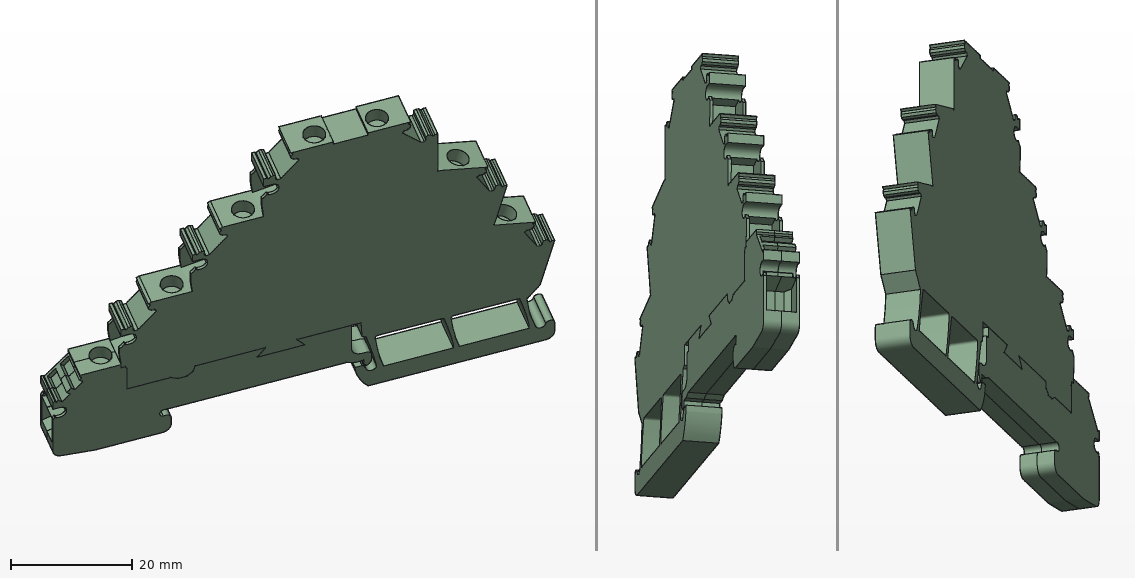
import cadquery as cq
import math


LENGTH = 87.7
WIDTH = 6.1
HEIGHT = 62.9
HALF_WIDTH = WIDTH / 2
SIDE_WALL = 0.5

LEVEL_PITCH = 12.45
LIP_TOP_Y = 41.6
LIP_LEVELS_Y = [LIP_TOP_Y - level * LEVEL_PITCH for level in range(3)]
SHELF_MIDDLE_Z = 48.85
SHELF_BOTTOM_Z = 34.8
BASE_TOP_Z = 21.2
LIP_DROP = 0.3
LIP_LEVELS_Z = [HEIGHT, SHELF_MIDDLE_Z - LIP_DROP, SHELF_BOTTOM_Z - LIP_DROP]
FLOOR_LEVELS_Z = [SHELF_MIDDLE_Z, SHELF_BOTTOM_Z, BASE_TOP_Z]

TOOTH_REACH = 4.7
CLIP_POINTS = [
    (0, 0), (-0.35, 0.4), (0, 0.9), (-0.1, 1.4), (-0.5, 1.75), (-1.1, 1.8), (-1.4, 2.3),
    (1.75, 5.7), (2.4, 5.8), (2.6, 5.5), (2.6, 4.65), (3.1, 4.5), (3.5, 4.6),
    (3.95, 5.0), (4.2, 4.7), (TOOTH_REACH, 4.7),
]

SLOT_RADIUS = 1.18
SLOT_TOP_Z = 55.1
SLOT_PITCH = 14.0
SLOT_LEVELS_Z = [SLOT_TOP_Z - level * SLOT_PITCH for level in range(3)]
SLOT_INSET = 1.5
FACE_BULGE = 0.3
FACE_BULGE_HEIGHT = 2.45

REAR_TILT = math.radians(15)
REAR_TOP_Y = 62.5
REAR_MIDDLE_Y = 76.0
REAR_MIDDLE_Z = 46.7
REAR_BOTTOM_Z = 29.9
REAR_CORNER_Y = 77.1
REAR_CORNER_Z = 31.8
REAR_BOTTOM_Y = LENGTH - TOOTH_REACH * (math.cos(REAR_TILT) - math.sin(REAR_TILT))

TOP_RECESS_START_Y = 49.0
TOP_RECESS_END_Y = 55.1
TOP_RECESS_DEPTH = 0.5

SEAM_Z = 16.1
SEAM_STEP_Z = 14.8
SEAM_FRONT_Y = 13.0
SEAM_LEDGE_Z = 20.4
SEAM_BULGE_Z = 14.1
GAP_REAR_Y = 53.85
FRONT_FACE_Y = LIP_LEVELS_Y[-1] - TOOTH_REACH
DOVETAIL_Z = 14.3
SEAM_POINTS = [
    (FRONT_FACE_Y, SEAM_LEDGE_Z), (12.7, SEAM_LEDGE_Z), (SEAM_FRONT_Y, 19.7),
    (SEAM_FRONT_Y, SEAM_STEP_Z), (20.6, SEAM_STEP_Z), (21.8, SEAM_BULGE_Z),
    (23.4, SEAM_BULGE_Z), (24.55, 15.0), (24.8, SEAM_Z),
    (37.2, SEAM_Z), (35.7, DOVETAIL_Z), (44.0, DOVETAIL_Z), (42.6, SEAM_Z),
]

FOOT_TOP_Z = 3.95
WINDOW_TOP_Z = 11.9
WINDOW_PITCH = 13.2
WINDOW_TOP_WIDTH = 12.0
WINDOW_BOTTOM_WIDTH = 12.2
WINDOW_TOP_Y = 69.55
WINDOW_BOTTOM_Y = 71.0
WINDOW_BOW = 0.22
WINDOW_FILLET = 0.4
WINDOW_TOE = 0.9
FOOT_FRONT_Y = 55.1

SCREW_DIAMETER = 3.8
SCREW_DEPTH = 2.6
SCREW_SETBACK = 5.0
REAR_SCREW_SETBACK = 4.5
SCREW_OFFSET_X = 0.4

POCKET_WIDTH = WIDTH - 2 * SIDE_WALL
POCKET_DEPTH = 4.8
POCKET_BACK_DROP = 1.0
POCKET_BACK_RISE = 0.7

BASE_REAR_Y = 52.2
BASE_LIP_Y = TOOTH_REACH
BASE_UNDERSIDE_Z = 7.2
BASE_FOOT_Z = 1.7
BASE_SLOT_INSET = 1.2
BASE_SLOT_Z = 13.3
BASE_SLOPE_TOP = (5.0, 20.4)
BASE_SLOPE_BOTTOM = (0.6, 16.05)
BASE_POCKET_MOUTH = (5.9, 11.8)
BASE_POCKET_BACK = (7.0, 10.6)
BASE_POCKET_DEPTH = 4.4
BASE_POCKET_CHAMFER = 1.05
BASE_RELIEF_DEPTH = 2.6
BASE_SCREW_SETBACK = 4.65
GROOVE_LENGTH = 2.0
GROOVE_DEPTH = 0.9
GROOVE_STARTS = [0.5, 3.7]
REAR_NOTCH_LENGTH = 0.9
REAR_NOTCH_HEIGHT = 1.8


def clip_points(lip_y, lip_z, outward, tilt=0.0):
    """Marker clip profile from lip tip to tooth corner; outward is +1 or -1 along Y."""
    points = []
    for reach, drop in CLIP_POINTS:
        y = lip_y + outward * (reach * math.cos(tilt) - drop * math.sin(tilt))
        z = lip_z - reach * math.sin(tilt) - drop * math.cos(tilt)
        points.append((y, z))
    return points


def through(outline, points):
    """Continue an outline with straight lines through the given points."""
    for point in points:
        outline = outline.lineTo(*point)
    return outline


def wire_slot(outline, tooth_y, axis_z, inset):
    """Continue an outline from the tooth corner around the wire slot to its lower mouth."""
    axis_y = tooth_y + inset
    outline = outline.lineTo(tooth_y, axis_z + SLOT_RADIUS).lineTo(axis_y, axis_z + SLOT_RADIUS)
    outline = outline.threePointArc((axis_y + SLOT_RADIUS, axis_z), (axis_y, axis_z - SLOT_RADIUS))
    mouth = [(-0.6, -1.18), (-0.9, -0.9)]
    return through(outline, [(axis_y + dy, axis_z + dz) for dy, dz in mouth])


def front_level(outline, lip_y, lip_z, slot_z, floor_z):
    """Continue an outline down one wire-entry level to the shelf below it."""
    outline = through(outline, clip_points(lip_y, lip_z, -1))
    face_y = lip_y - TOOTH_REACH
    outline = wire_slot(outline, face_y, slot_z, SLOT_INSET)
    bulge_y = face_y - FACE_BULGE
    return through(outline, [
        (face_y + 0.2, slot_z - 1.4), (bulge_y, slot_z - 1.75),
        (bulge_y, floor_z + FACE_BULGE_HEIGHT), (face_y, floor_z),
    ])


def extrude_across(outline):
    """Close a YZ outline and extrude it across the whole width."""
    return outline.close().extrude(HALF_WIDTH, both=True)


def screw_hole(x, y, z, tilt=0.0):
    """Blind screw hole sunk from a point on a shelf, its axis leaning towards +Y by tilt."""
    inward = cq.Vector(0, -math.sin(tilt), -math.cos(tilt))
    hole = cq.Solid.makeCylinder(SCREW_DIAMETER / 2, SCREW_DEPTH, cq.Vector(x, y, z), inward)
    return cq.Workplane(obj=hole)


def wire_pocket(face_y, mouth_span, depth, back_span):
    """Pocket opening on the plane Y = face_y; each span is the lower and upper Z of that end."""
    mouth_low, mouth_high = mouth_span
    back_low, back_high = back_span
    return (
        cq.Workplane("YZ")
        .moveTo(face_y - 0.9, mouth_low)
        .lineTo(face_y, mouth_low)
        .lineTo(face_y + depth, back_low)
        .lineTo(face_y + depth, back_high)
        .lineTo(face_y, mouth_high)
        .lineTo(face_y - 0.9, mouth_high)
        .close()
        .extrude(POCKET_WIDTH / 2, both=True)
    )


def housing_outline():
    """Solid of the housing side outline, without pockets, windows and holes."""
    outline = cq.Workplane("YZ").moveTo(TOP_RECESS_START_Y, HEIGHT)
    for lip_y, lip_z, slot_z, floor_z in zip(
            LIP_LEVELS_Y, LIP_LEVELS_Z, SLOT_LEVELS_Z, FLOOR_LEVELS_Z):
        if lip_z < HEIGHT:
            outline = outline.lineTo(lip_y + 0.5, lip_z + LIP_DROP)
        outline = front_level(outline, lip_y, lip_z, slot_z, floor_z)

    outline = through(outline, SEAM_POINTS)
    outline = through(outline, [(GAP_REAR_Y, SEAM_Z), (54.0, 12.7), (54.7, 12.3)])

    outline = outline.threePointArc((55.8, 8.2), (56.6, 4.4))
    outline = outline.threePointArc((55.8, 3.7), (54.7, 4.5))
    outline = through(outline, [(54.4, 5.2), (54.0, 5.4), (52.8, 5.4), (52.9, 4.4)])
    outline = outline.threePointArc((53.8, 1.9), (FOOT_FRONT_Y, 0))

    outline = outline.lineTo(86.1, 0).threePointArc((87.3, 0.5), (LENGTH, 1.7))
    outline = outline.lineTo(LENGTH, 3.8).threePointArc((86.8, 4.6), (86.1, 4.1))
    outline = outline.threePointArc((85.3, 3.3), (84.4, FOOT_TOP_Z))
    outline = outline.threePointArc((83.3, 7.8), (82.9, 11.05))

    outline = through(outline, [(82.9, 11.4), (85.2, 14.0)])
    outline = through(outline, reversed(clip_points(REAR_BOTTOM_Y, REAR_BOTTOM_Z, 1, REAR_TILT)))
    outline = outline.lineTo(REAR_CORNER_Y, REAR_CORNER_Z)
    outline = through(outline, reversed(clip_points(REAR_MIDDLE_Y, REAR_MIDDLE_Z, 1, REAR_TILT)))
    tilted_run = (SHELF_MIDDLE_Z - REAR_MIDDLE_Z) / math.tan(REAR_TILT)
    outline = outline.lineTo(REAR_MIDDLE_Y - tilted_run, SHELF_MIDDLE_Z)
    outline = outline.lineTo(REAR_TOP_Y + TOOTH_REACH, SHELF_MIDDLE_Z)
    outline = through(outline, reversed(clip_points(REAR_TOP_Y, HEIGHT, 1)))

    recess_z = HEIGHT - TOP_RECESS_DEPTH
    outline = through(outline, [
        (TOP_RECESS_END_Y, HEIGHT), (TOP_RECESS_END_Y, recess_z), (TOP_RECESS_START_Y, recess_z),
    ])
    return extrude_across(outline)


def foot_window():
    """Cutter for the rear window between the struts of the foot."""
    top_rear = WINDOW_TOP_Y + WINDOW_TOP_WIDTH
    bottom_rear = WINDOW_BOTTOM_Y + WINDOW_BOTTOM_WIDTH
    middle_z = (WINDOW_TOP_Z + FOOT_TOP_Z) / 2
    front_middle = ((WINDOW_TOP_Y + WINDOW_BOTTOM_Y) / 2 - WINDOW_BOW, middle_z)
    rear_middle = ((top_rear + bottom_rear) / 2 + WINDOW_BOW, middle_z)
    outline = (
        cq.Workplane("YZ")
        .moveTo(WINDOW_TOP_Y, WINDOW_TOP_Z)
        .threePointArc(front_middle, (WINDOW_BOTTOM_Y, FOOT_TOP_Z))
        .lineTo(bottom_rear, FOOT_TOP_Z)
        .lineTo(bottom_rear, FOOT_TOP_Z + WINDOW_TOE)
        .threePointArc(rear_middle, (top_rear, WINDOW_TOP_Z))
    )
    return extrude_across(outline).edges("|X").edges(">Z").fillet(WINDOW_FILLET)


def make_housing():
    """Full-width housing with its three levels and sprung foot."""
    housing = housing_outline()
    for index in range(2):
        housing = housing.cut(foot_window().translate((0, -index * WINDOW_PITCH, 0)))
    for lip_y, slot_z, floor_z in zip(LIP_LEVELS_Y, SLOT_LEVELS_Z, FLOOR_LEVELS_Z):
        housing = housing.cut(wire_pocket(
            lip_y - TOOTH_REACH, (floor_z, slot_z), POCKET_DEPTH,
            (floor_z + POCKET_BACK_RISE, slot_z - POCKET_BACK_DROP),
        ))
    for lip_y, shelf_z in zip(LIP_LEVELS_Y, [HEIGHT, SHELF_MIDDLE_Z, SHELF_BOTTOM_Z]):
        housing = housing.cut(screw_hole(SCREW_OFFSET_X, lip_y + SCREW_SETBACK, shelf_z))
    housing = housing.cut(screw_hole(SCREW_OFFSET_X, REAR_TOP_Y - SCREW_SETBACK, HEIGHT))
    for lip_y, lip_z in [(REAR_MIDDLE_Y, REAR_MIDDLE_Z), (REAR_BOTTOM_Y, REAR_BOTTOM_Z)]:
        hole_y = lip_y - REAR_SCREW_SETBACK * math.cos(REAR_TILT)
        hole_z = lip_z + REAR_SCREW_SETBACK * math.sin(REAR_TILT)
        housing = housing.cut(screw_hole(SCREW_OFFSET_X, hole_y, hole_z, REAR_TILT))
    return housing


def base_outline():
    """Solid of the base side outline across both shells."""
    outline = cq.Workplane("YZ").moveTo(FRONT_FACE_Y, BASE_TOP_Z)
    outline = through(outline, [
        (BASE_LIP_Y, BASE_TOP_Z), (BASE_LIP_Y, 20.8), BASE_SLOPE_TOP,
        BASE_SLOPE_BOTTOM, (0.35, 16.3), (0, 16.3),
    ])
    outline = wire_slot(outline, 0, BASE_SLOT_Z, BASE_SLOT_INSET)
    outline = outline.lineTo(0, 11.8)

    outline = outline.lineTo(0, 4.1).threePointArc((0.4, 3.0), (1.5, 2.45))
    outline = outline.lineTo(7.45, BASE_FOOT_Z).lineTo(19.2, BASE_FOOT_Z)
    outline = outline.threePointArc((20.3, 2.2), (20.7, 3.25))
    outline = outline.lineTo(20.7, 4.9).threePointArc((20.35, 5.5), (19.3, 5.7))
    outline = outline.threePointArc((18.7, 6.3), (19.8, BASE_UNDERSIDE_Z))

    outline = through(outline, [
        (51.3, BASE_UNDERSIDE_Z), (52.8, 6.7), (54.4, 6.7), (54.4, 5.6), (54.7, 5.2),
    ])
    outline = outline.threePointArc((55.4, 5.7), (55.7, 6.6))
    outline = outline.lineTo(55.7, 7.8).threePointArc((55.4, 8.2), (54.9, 8.5))
    outline = outline.lineTo(54.0, 8.5).threePointArc((52.7, 9.0), (BASE_REAR_Y, 10.2))
    outline = outline.lineTo(BASE_REAR_Y, SEAM_Z)
    outline = through(outline, reversed(SEAM_POINTS))
    return extrude_across(outline)


def marker_groove(start):
    """Groove cutter across the sloped front, starting a given distance below its top."""
    top_y, top_z = BASE_SLOPE_TOP
    bottom_y, bottom_z = BASE_SLOPE_BOTTOM
    slope = math.degrees(math.atan2(top_z - bottom_z, top_y - bottom_y))
    groove = cq.Workplane("XY").box(
        WIDTH, GROOVE_LENGTH, 2 * GROOVE_DEPTH, centered=(False, False, True))
    groove = groove.translate((SIDE_WALL - HALF_WIDTH, -start - GROOVE_LENGTH, 0))
    return groove.rotate((0, 0, 0), (1, 0, 0), slope).translate((0, top_y, top_z))


def base_body():
    """Both base shells as one shape, with the features that cross the split."""
    body = base_outline()
    pocket = wire_pocket(0, BASE_POCKET_MOUTH, BASE_POCKET_DEPTH, BASE_POCKET_BACK)
    pocket = pocket.faces(">Y").edges("|Z").chamfer(BASE_POCKET_CHAMFER)
    slot_relief = cq.Workplane("XY").box(
        POCKET_WIDTH, BASE_RELIEF_DEPTH, BASE_SLOT_Z - BASE_POCKET_MOUTH[1],
        centered=(True, False, False))
    body = body.cut(pocket)
    body = body.cut(slot_relief.translate((0, 0, BASE_POCKET_MOUTH[1])))
    body = body.cut(screw_hole(0, BASE_LIP_Y + BASE_SCREW_SETBACK, BASE_TOP_Z))
    for start in GROOVE_STARTS:
        body = body.cut(marker_groove(start))
    return body


def half_space(side):
    """Block covering the part on one side of the split plane X = 0; side is +1 or -1."""
    block = cq.Workplane("XY").box(HALF_WIDTH, LENGTH, HEIGHT, centered=(True, False, False))
    return block.translate((side * HALF_WIDTH / 2, 0, 0))


def make_left_shell():
    """Shell on the -X side, with a notch in its upper rear corner."""
    notch = cq.Workplane("XY").box(
        HALF_WIDTH, REAR_NOTCH_LENGTH, REAR_NOTCH_HEIGHT, centered=(False, False, False))
    notch = notch.translate(
        (-HALF_WIDTH, BASE_REAR_Y - REAR_NOTCH_LENGTH, SEAM_Z - REAR_NOTCH_HEIGHT))
    return base_body().intersect(half_space(-1)).cut(notch)


def make_right_shell():
    """Shell on the +X side."""
    return base_body().intersect(half_space(1))


housing = make_housing()
left_shell = make_left_shell()
right_shell = make_right_shell()

result = cq.Compound.makeCompound([body.solids().val() for body in (housing, left_shell, right_shell)])